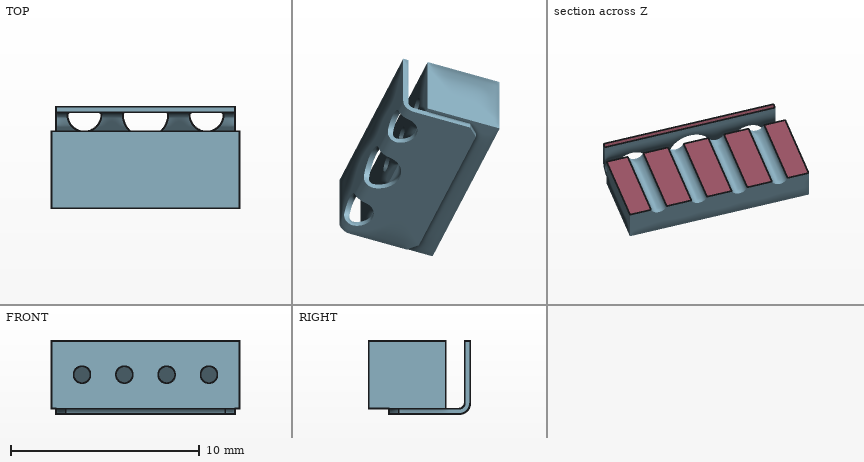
import cadquery as cq
import math

block_width = 10.0
block_depth = 4.1
block_height = 3.6
bore_diameter = 0.9
bore_count = 4
bore_pitch = 2.25

sheet = 0.3
bracket_width = 9.53
floor_length = 4.33
bend_inner_radius = 0.3
bend_outer_radius = bend_inner_radius + sheet
corner_chamfer = 0.52

side_opening_diameter = 1.8
middle_opening_diameter = 2.4
side_opening_offset = 3.25
neutral_radius = 0.4
opening_arc_offset = 0.18
bend_sections = 7

bracket_gap = 1.0
back = block_depth + bracket_gap + sheet
bracket_height = sheet + block_height
bend_y = back - bend_outer_radius
bend_z = bend_outer_radius
bend_arc_length = neutral_radius * math.pi / 2


def make_block():
    """Rectangular housing with a row of through bores along Y."""
    body = cq.Workplane("XY", origin=(0, 0, sheet)).box(
        block_width, block_depth, block_height, centered=(True, False, False)
    )
    bores = (
        cq.Workplane("XZ")
        .center(0, sheet + block_height / 2)
        .rarray(bore_pitch, 1, bore_count, 1)
        .circle(bore_diameter / 2)
        .extrude(-block_depth)
    )
    return body.cut(bores)


def floor_opening(x, radius):
    """Part of a relief opening that lies in the flat floor."""
    disc = cq.Workplane("XY").center(x, bend_y + opening_arc_offset).circle(radius).extrude(sheet)
    floor_zone = cq.Workplane("XY").box(
        bracket_width, floor_length, sheet, centered=(True, False, False)
    ).translate((0, bend_y - floor_length, 0))
    return disc.intersect(floor_zone)


def wall_opening(x, radius):
    """Part of a relief opening that lies in the upright wall."""
    centre_z = bend_z - (bend_arc_length - opening_arc_offset)
    disc = cq.Workplane("XZ", origin=(0, back, 0)).center(x, centre_z).circle(radius).extrude(sheet)
    wall_zone = cq.Workplane("XY").box(
        bracket_width, sheet, bracket_height, centered=(True, False, False)
    ).translate((0, back - sheet, bend_z))
    return disc.intersect(wall_zone)


def bend_opening(x, radius):
    """Part of a relief opening wrapped around the bend, lofted through radial rectangles."""
    inner = bend_inner_radius / 2
    outer = bend_outer_radius + sheet
    sections = []
    for i in range(bend_sections):
        angle = math.pi / 2 * i / (bend_sections - 1)
        from_centre = neutral_radius * angle - opening_arc_offset
        half = math.sqrt(radius**2 - from_centre**2)
        corners = []
        for dx, r in ((-half, inner), (half, inner), (half, outer), (-half, outer)):
            corners.append(cq.Vector(x + dx, bend_y + r * math.sin(angle), bend_z - r * math.cos(angle)))
        sections.append(cq.Wire.makePolygon(corners, close=True))
    return cq.Workplane(cq.Solid.makeLoft(sections))


def make_bracket():
    """L-shaped bent sheet with chamfered front corners and three relief openings."""
    mid = math.sqrt(0.5)
    body = (
        cq.Workplane("YZ", origin=(-bracket_width / 2, 0, 0))
        .moveTo(back - floor_length, 0)
        .lineTo(bend_y, 0)
        .threePointArc((bend_y + bend_outer_radius * mid, bend_z - bend_outer_radius * mid), (back, bend_z))
        .lineTo(back, bracket_height)
        .lineTo(back - sheet, bracket_height)
        .lineTo(back - sheet, bend_z)
        .threePointArc((bend_y + bend_inner_radius * mid, bend_z - bend_inner_radius * mid), (bend_y, sheet))
        .lineTo(back - floor_length, sheet)
        .close()
        .extrude(bracket_width)
    )
    body = body.faces("<Y").edges("|Z").chamfer(corner_chamfer)
    openings = (
        (-side_opening_offset, side_opening_diameter),
        (0, middle_opening_diameter),
        (side_opening_offset, side_opening_diameter),
    )
    for x, diameter in openings:
        for make_cut in (floor_opening, bend_opening, wall_opening):
            body = body.cut(make_cut(x, diameter / 2))
    return body


block = make_block()
bracket = make_bracket()
result = cq.Compound.makeCompound([block.solids().val(), bracket.solids().val()])